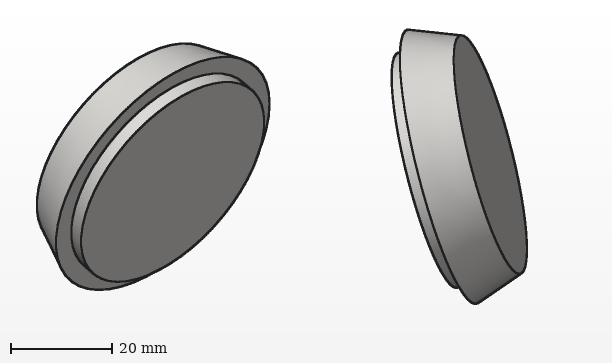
import cadquery as cq
import math

head_diameter = 56.0
head_length = 10.0
taper_angle = 20.0
spigot_diameter = 48.0
total_length = 13.0

head_radius = head_diameter / 2
spigot_radius = spigot_diameter / 2
face_radius = head_radius - head_length * math.tan(math.radians(taper_angle))

half_section = (
    cq.Workplane("XY")
    .moveTo(0, 0)
    .lineTo(0, face_radius)
    .lineTo(head_length, head_radius)
    .lineTo(head_length, spigot_radius)
    .lineTo(total_length, spigot_radius)
    .lineTo(total_length, 0)
    .close()
)

result = half_section.revolve(360, (0, 0, 0), (1, 0, 0))